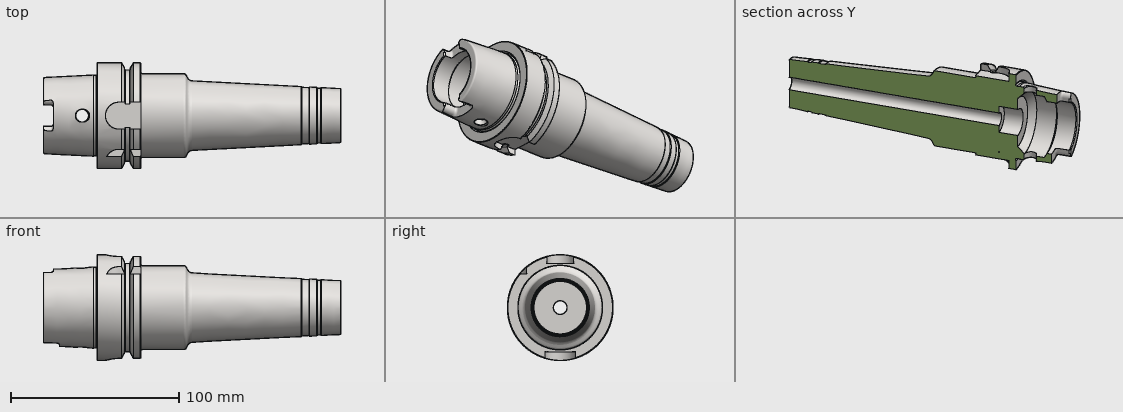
import cadquery as cq
import math


SHANK_END = -32.0
GAUGE_X = -6.3
GAUGE_R = 24.0
TAPER_RATIO = 1 / 9.98 / 2
SHANK_ROUND = 1.1
RELIEF_START = -2.2
RELIEF_CHAMFER = 0.6
RELIEF_R = 48.04 / 2
RELIEF_END = -0.6
FACE_RECESS_R = 25.4
FACE_RECESS_FLOOR_R = 24.6
FACE_RECESS_DEPTH = 0.6

FLANGE_R = 63.0 / 2
FLANGE_END = 26.0
FLANGE_FRONT_CHAMFER = 0.3
FLANGE_CHAMFER = 0.4
GROOVE_CENTER = 18.0
GROOVE_MOUTH = 7.0
GROOVE_FLOOR_WIDTH = 3.3
GROOVE_FLOOR_R = 27.2
GROOVE_FLOOR_ROUND = 0.4
GROOVE_FLANK_ANGLE = math.radians(30)

COLLAR_R = 50.5 / 2
NECK_R = 50.0 / 2
COLLAR_END = 26.8
NECK_CORNER_X = 52.45
NECK_ROUND = 1.7
SHOULDER_ANGLE = math.radians(62)
SHOULDER_ROUND = 3.0

NOSE_END = 145.0
NOSE_END_R = 32.2 / 2
NOSE_SLOPE = math.tan(math.radians(3))
NOSE_CHAMFER = 0.5
RING_DEPTH = 0.4
WIDE_RING = (121.2, 126.3)
NARROW_RING = (130.3, 133.3)
RING_FLANK = 0.5

BORE_R = 34.0 / 2
BORE_CHAMFER = 0.35
BORE_CHAMFER_LENGTH = 0.7
UNDERCUT_R = 40.0 / 2
UNDERCUT_START = -19.5
CLAMP_ANGLE = math.radians(60)
CAVITY_FLOOR_X = -1.0
CAVITY_FLOOR_R = 31.6 / 2
TUBE_HOLE_R = 16.92 / 2
TUBE_HOLE_DEPTH = 12.0
COOLANT_R = 8.0 / 2

ACCESS_X = -8.95
ACCESS_R = 7.5 / 2
ACCESS_CHAMFER = 0.5

DRIVE_HALF_WIDTH = 12.54 / 2
DRIVE_DEPTH_TOP = 6.0
DRIVE_DEPTH_BOTTOM = 9.5
DRIVE_FLARE_R = 3.0
DRIVE_FLARE_Z = 18.0
DRIVE_FLOOR_ROUND = 1.5
DRIVE_MOUTH_CHAMFER = 0.8

KEYWAY_START = 4.9
KEYWAY_FLOOR_Z = 26.3
KEYWAY_WIDTH_TOP = 16.0
KEYWAY_WIDTH_BOTTOM = 18.0
NOTCH_CUTTER_R = 8.0
NOTCH_CENTER_X = 12.8
NOTCH_WALL_Y = -20.0
NOTCH_FLOOR_Z = 20.0

SELECT_MARGIN = 0.1
CUT_CLEARANCE = 1.0


def taper_radius(x):
    return GAUGE_R + (x - GAUGE_X) * TAPER_RATIO


def nose_radius(x):
    return NOSE_END_R + (NOSE_END - x) * NOSE_SLOPE


def revolve_profile(points):
    return cq.Workplane("XY").polyline(points).close().revolve(360, (0, 0, 0), (1, 0, 0))


def edge_at(x, radius):
    """Selector for the circular edges around the axis at x that are no larger than the radius."""
    reach = radius + SELECT_MARGIN
    low = (x - SELECT_MARGIN, -reach, -reach)
    high = (x + SELECT_MARGIN, reach, reach)
    return cq.selectors.BoxSelector(low, high, boundingbox=True)


def turned_body():
    mouth_left = GROOVE_CENTER - GROOVE_MOUTH / 2
    mouth_right = GROOVE_CENTER + GROOVE_MOUTH / 2
    floor_left = GROOVE_CENTER - GROOVE_FLOOR_WIDTH / 2
    floor_right = GROOVE_CENTER + GROOVE_FLOOR_WIDTH / 2
    flank_r = FLANGE_R - (floor_left - mouth_left) / math.tan(GROOVE_FLANK_ANGLE)

    shoulder_slope = math.tan(SHOULDER_ANGLE)
    shoulder_x = NECK_CORNER_X + (NECK_R - nose_radius(NECK_CORNER_X)) / (shoulder_slope - NOSE_SLOPE)

    body = revolve_profile([
        (SHANK_END, 0),
        (SHANK_END, taper_radius(SHANK_END)),
        (RELIEF_START, taper_radius(RELIEF_START)),
        (RELIEF_START + RELIEF_CHAMFER, RELIEF_R),
        (RELIEF_END, RELIEF_R),
        (FACE_RECESS_DEPTH, FACE_RECESS_FLOOR_R),
        (0, FACE_RECESS_R),
        (0, FLANGE_R - FLANGE_FRONT_CHAMFER),
        (FLANGE_FRONT_CHAMFER, FLANGE_R),
        (mouth_left, FLANGE_R),
        (floor_left, flank_r),
        (floor_left, GROOVE_FLOOR_R),
        (floor_right, GROOVE_FLOOR_R),
        (floor_right, flank_r),
        (mouth_right, FLANGE_R),
        (FLANGE_END - FLANGE_CHAMFER, FLANGE_R),
        (FLANGE_END, FLANGE_R - FLANGE_CHAMFER),
        (FLANGE_END, COLLAR_R),
        (COLLAR_END, NECK_R),
        (NECK_CORNER_X, NECK_R),
        (shoulder_x, nose_radius(shoulder_x)),
        (NOSE_END - NOSE_CHAMFER, nose_radius(NOSE_END - NOSE_CHAMFER)),
        (NOSE_END, NOSE_END_R - NOSE_CHAMFER),
        (NOSE_END, 0),
    ])
    body = body.edges(edge_at(SHANK_END, taper_radius(SHANK_END))).fillet(SHANK_ROUND)
    for floor_x in (floor_left, floor_right):
        body = body.edges(edge_at(floor_x, GROOVE_FLOOR_R)).fillet(GROOVE_FLOOR_ROUND)
    body = body.edges(edge_at(NECK_CORNER_X, NECK_R)).fillet(NECK_ROUND)
    return body.edges(edge_at(shoulder_x, NECK_R)).fillet(SHOULDER_ROUND)


def ring_groove(start, end):
    """Shallow groove with sloped flanks around the nose cone."""
    floor_start = start + RING_FLANK
    floor_end = end - RING_FLANK
    clear_r = nose_radius(start) + CUT_CLEARANCE
    return revolve_profile([
        (start, clear_r),
        (start, nose_radius(start)),
        (floor_start, nose_radius(floor_start) - RING_DEPTH),
        (floor_end, nose_radius(floor_end) - RING_DEPTH),
        (end, nose_radius(end)),
        (end, clear_r),
    ])


def cavity():
    clamp_end = UNDERCUT_START + (UNDERCUT_R - BORE_R) / math.tan(CLAMP_ANGLE)
    undercut_end = CAVITY_FLOOR_X - (UNDERCUT_R - CAVITY_FLOOR_R)
    tube_hole_end = CAVITY_FLOOR_X + TUBE_HOLE_DEPTH
    return revolve_profile([
        (SHANK_END, 0),
        (SHANK_END, BORE_R + BORE_CHAMFER),
        (SHANK_END + BORE_CHAMFER_LENGTH, BORE_R),
        (UNDERCUT_START, BORE_R),
        (clamp_end, UNDERCUT_R),
        (undercut_end, UNDERCUT_R),
        (CAVITY_FLOOR_X, CAVITY_FLOOR_R),
        (CAVITY_FLOOR_X, TUBE_HOLE_R),
        (tube_hole_end, TUBE_HOLE_R),
        (tube_hole_end, COOLANT_R),
        (NOSE_END, COOLANT_R),
        (NOSE_END, 0),
    ])


def access_hole():
    """Radial drill through the shank wall on the +Z side."""
    return cq.Workplane("XY").center(ACCESS_X, 0).circle(ACCESS_R).extrude(GAUGE_R + CUT_CLEARANCE)


def access_countersink():
    """45 degree cone that breaks the outer edge of the access hole on the +Z side."""
    surface_r = ACCESS_R + ACCESS_CHAMFER
    tip = cq.Vector(ACCESS_X, 0, taper_radius(ACCESS_X) - surface_r)
    height = surface_r + CUT_CLEARANCE
    return cq.Workplane(cq.Solid.makeCone(0, height, height, tip, cq.Vector(0, 0, 1)))


def drive_slot(depth):
    """Slot towards +Z in the shank end, its walls rounded outwards at the taper surface."""
    flare_y = DRIVE_HALF_WIDTH + DRIVE_FLARE_R
    flare_z = DRIVE_FLARE_Z + DRIVE_FLARE_R
    arc_offset = DRIVE_FLARE_R * math.sqrt(0.5)
    arc_y = flare_y - arc_offset
    arc_z = DRIVE_FLARE_Z + arc_offset
    top_z = GAUGE_R + CUT_CLEARANCE
    slot = (
        cq.Workplane("YZ", origin=(SHANK_END, 0, 0))
        .moveTo(-DRIVE_HALF_WIDTH, 0)
        .lineTo(DRIVE_HALF_WIDTH, 0)
        .lineTo(DRIVE_HALF_WIDTH, DRIVE_FLARE_Z)
        .threePointArc((arc_y, arc_z), (flare_y, flare_z))
        .lineTo(flare_y, top_z)
        .lineTo(-flare_y, top_z)
        .lineTo(-flare_y, flare_z)
        .threePointArc((-arc_y, arc_z), (-DRIVE_HALF_WIDTH, DRIVE_FLARE_Z))
        .close()
        .extrude(depth)
    )
    slot = slot.faces(">X").edges("not |Y").fillet(DRIVE_FLOOR_ROUND)
    mouth_half = DRIVE_HALF_WIDTH + DRIVE_MOUTH_CHAMFER
    mouth = (
        cq.Workplane("XY")
        .polyline([
            (SHANK_END, -mouth_half),
            (SHANK_END, mouth_half),
            (SHANK_END + DRIVE_MOUTH_CHAMFER, DRIVE_HALF_WIDTH),
            (SHANK_END + DRIVE_MOUTH_CHAMFER, -DRIVE_HALF_WIDTH),
        ])
        .close()
        .extrude(DRIVE_FLARE_Z)
    )
    return slot.union(mouth)


def keyway(width):
    """Round-ended keyway towards +Z, open at the nose side of the flange."""
    radius = width / 2
    center_x = KEYWAY_START + radius
    return (
        cq.Workplane("XY", origin=(0, 0, KEYWAY_FLOOR_Z))
        .moveTo(FLANGE_END, -radius)
        .lineTo(center_x, -radius)
        .threePointArc((KEYWAY_START, 0), (center_x, radius))
        .lineTo(FLANGE_END, radius)
        .close()
        .extrude(FLANGE_R - KEYWAY_FLOOR_Z)
    )


def corner_notch():
    """Notch milled along Z into the -Y, +Z corner of the flange."""
    center_y = NOTCH_WALL_Y - NOTCH_CUTTER_R
    return (
        cq.Workplane("XY", origin=(0, 0, NOTCH_FLOOR_Z))
        .moveTo(NOTCH_CENTER_X, NOTCH_WALL_Y)
        .lineTo(FLANGE_END, NOTCH_WALL_Y)
        .lineTo(FLANGE_END, center_y - NOTCH_CUTTER_R)
        .lineTo(NOTCH_CENTER_X, center_y - NOTCH_CUTTER_R)
        .threePointArc((NOTCH_CENTER_X - NOTCH_CUTTER_R, center_y), (NOTCH_CENTER_X, NOTCH_WALL_Y))
        .close()
        .extrude(FLANGE_R - NOTCH_FLOOR_Z)
    )


def underside(cutter):
    """Turn a cutter from the +Z side to the -Z side."""
    return cutter.rotate((0, 0, 0), (1, 0, 0), 180)


cutters = [
    ring_groove(*WIDE_RING),
    ring_groove(*NARROW_RING),
    cavity(),
    access_countersink(),
    underside(access_countersink()),
    access_hole(),
    underside(access_hole()),
    drive_slot(DRIVE_DEPTH_TOP),
    underside(drive_slot(DRIVE_DEPTH_BOTTOM)),
    keyway(KEYWAY_WIDTH_TOP),
    underside(keyway(KEYWAY_WIDTH_BOTTOM)),
    corner_notch(),
]

result = turned_body()
for cutter in cutters:
    result = result.cut(cutter)